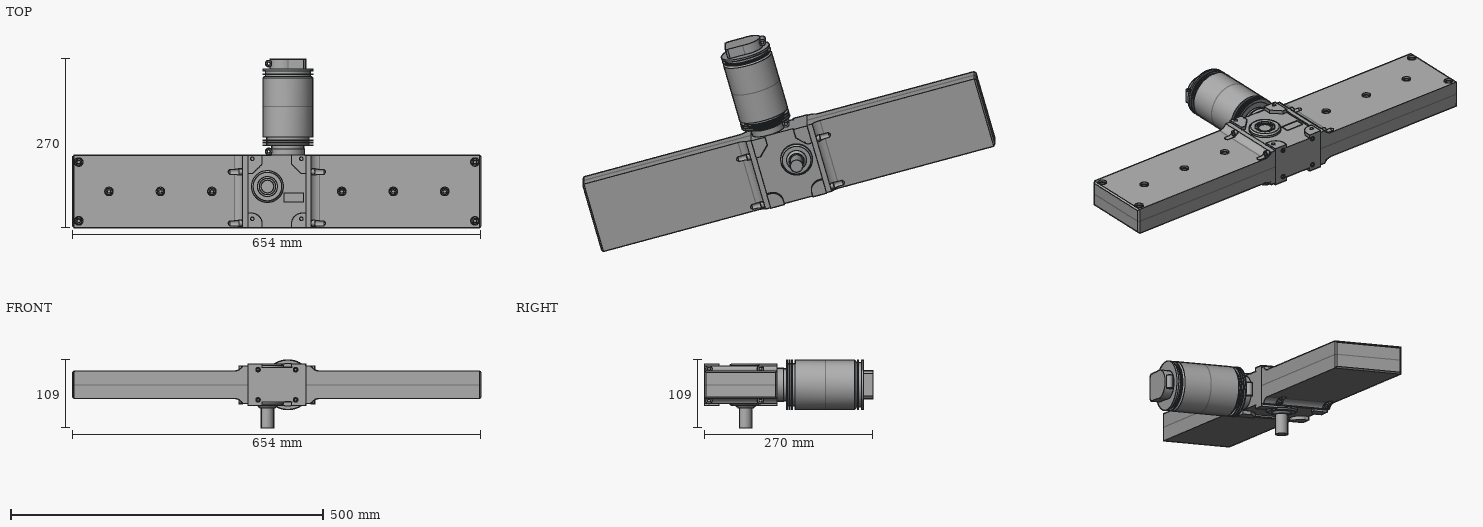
import cadquery as cq
import math

DEPTH = 116.5
TOTAL_LENGTH = 654.0
TOTAL_DEPTH = 270.0

ARM_HALF_HEIGHT = 22.0
FLANGE_HALF_HEIGHT = 30.0
GEARBOX_HALF_WIDTH = 46.5
FLANGE_END_X = 55.0
FLARE_END_X = 68.0
ARM_END_X = TOTAL_LENGTH / 2
ARM_END_CHAMFER = 2.5

SCREW_BORES = ((14.0, 3.0), (10.0, 6.5), (5.5, 16.5))
MIDDLE_SCREW_FIRST_X = 104.0
MIDDLE_SCREW_PITCH = 82.5
MIDDLE_SCREW_COUNT = 3
CORNER_SCREW_X = 317.0
CORNER_SCREW_INSET = 11.0

POCKET_DIA = 10.5
POCKET_TIP_X = 82.5
POCKET_TIP_LENGTH = 7.0
POCKET_Z = 25.5
POCKET_YS = (7.0, 89.5)
BOLT_HEAD_DIA = 10.0
BOLT_HEAD_LENGTH = 6.0
BOLT_SOCKET_DIA = 4.9
BOLT_SOCKET_DEPTH = 3.0

GEARBOX_HALF_HEIGHT = 33.5
PAD_HEIGHT = 6.0
CORE_HALF_HEIGHT = GEARBOX_HALF_HEIGHT - PAD_HEIGHT
PAD_INNER_X = 23.5
FRONT_PAD_DEPTH = 23.5
FRONT_PAD_RADIUS = 17.0
BACK_PAD_DEPTH = 29.5
BACK_PAD_BEVEL = 15.0
PAD_HOLE_X = 39.0
FRONT_PAD_HOLE_Y = 14.5
BACK_PAD_HOLE_INSET = 6.0
PAD_HOLE_DIA = 5.5
PAD_HOLE_DEPTH = 10.0
FACE_HOLE_X = 30.0
FACE_HOLE_Z = 24.0
FACE_BORES = ((7.0, 2.0), (4.1, 10.0))

SHAFT_X = -15.0
SHAFT_Y = 66.0
SHAFT_DIA = 20.0
SHAFT_BOTTOM_Z = -69.0
BOSS_DIA = 51.0
BOSS_CHAMFER = 2.5
HUB_DIA = 32.0
HUB_RECESS_DEPTH = 2.5
HUB_FLOOR_Z = GEARBOX_HALF_HEIGHT - HUB_RECESS_DEPTH
SHAFT_RELIEF_DIA = 26.0
SHAFT_RELIEF_DEPTH = 6.5
COLLAR_HEIGHT = 4.0
COLLAR_END_DIA = 24.0

PLATE_X, PLATE_Y = 27.0, 48.5
PLATE_LENGTH, PLATE_WIDTH, PLATE_THICKNESS = 31.5, 14.5, 0.5

MOTOR_X = 17.5
MOTOR_DIA = 80.0
NECK_DIA = 51.5
CLAMP_DIA = 53.5
CLAMP_LENGTH = 10.0
NECK_END_Y = 131.5
FIN_THICKNESS = 1.0
LOWER_FIN_PITCH = 4.0
LOWER_FIN_COUNT = 3
LOWER_GROOVE_DIA = 68.0
BARREL_START_Y = 145.0
BARREL_END_Y = 242.5
BARREL_CHAMFER = 2.5
UPPER_GROOVE_DIA = 72.0
UPPER_FIN_Y = 245.0
END_PLATE_Y = 251.0
END_PLATE_THICKNESS = 3.0
CAP_HALF_WIDTH = 29.0
CAP_HALF_HEIGHT = 22.0
CAP_CHAMFER = 4.0
LUG_DIA = 10.5
LUG_HOLE_DIA = 4.9
LUG_HALF_LENGTH = 10.5
LUG_X = MOTOR_X - 31.0
LUG_YS = (DEPTH + 6.0, TOTAL_DEPTH - 7.0)


def y_cylinder(x, z, y_start, y_end, diameter):
    """Cylinder whose axis is parallel to Y."""
    return cq.Workplane(cq.Solid.makeCylinder(
        diameter / 2, y_end - y_start, cq.Vector(x, y_start, z), cq.Vector(0, 1, 0)))


def z_cylinder(x, y, z_start, z_end, diameter):
    """Cylinder whose axis is parallel to Z."""
    return cq.Workplane(cq.Solid.makeCylinder(diameter / 2, z_end - z_start, cq.Vector(x, y, z_start)))


def arm_half_blank():
    """Upper half of the right arm, with a concave flare up to its flange."""
    rise = FLANGE_HALF_HEIGHT - ARM_HALF_HEIGHT
    run = FLARE_END_X - FLANGE_END_X
    radius = (run ** 2 + rise ** 2) / (2 * rise)
    half_angle = math.asin(run / radius) / 2
    flare_middle = (
        FLARE_END_X - radius * math.sin(half_angle),
        ARM_HALF_HEIGHT + radius * (1 - math.cos(half_angle)),
    )
    half = (
        cq.Workplane("XZ")
        .moveTo(GEARBOX_HALF_WIDTH, 0)
        .lineTo(GEARBOX_HALF_WIDTH, FLANGE_HALF_HEIGHT)
        .lineTo(FLANGE_END_X, FLANGE_HALF_HEIGHT)
        .threePointArc(flare_middle, (FLARE_END_X, ARM_HALF_HEIGHT))
        .lineTo(ARM_END_X, ARM_HALF_HEIGHT)
        .lineTo(ARM_END_X, 0)
        .close()
        .extrude(-DEPTH)
    )
    end_edges = half.faces(">X").edges("not <Z")
    return end_edges.chamfer(ARM_END_CHAMFER)


def bolt_pocket(y):
    """Round pocket along X with a conical tip."""
    radius = POCKET_DIA / 2
    return (
        cq.Workplane("XZ", origin=(0, y, POCKET_Z))
        .moveTo(FLANGE_END_X, 0)
        .lineTo(FLANGE_END_X, radius)
        .lineTo(POCKET_TIP_X - POCKET_TIP_LENGTH, radius)
        .lineTo(POCKET_TIP_X, 0)
        .close()
        .revolve(360, (0, 0, 0), (1, 0, 0))
    )


def bolt_head(y):
    return (
        cq.Workplane("YZ", origin=(FLANGE_END_X, y, POCKET_Z))
        .circle(BOLT_HEAD_DIA / 2)
        .extrude(BOLT_HEAD_LENGTH)
        .faces(">X")
        .workplane()
        .hole(BOLT_SOCKET_DIA, BOLT_SOCKET_DEPTH)
    )


def cover_screw_points():
    middle_xs = [MIDDLE_SCREW_FIRST_X + i * MIDDLE_SCREW_PITCH for i in range(MIDDLE_SCREW_COUNT)]
    middle = [(x, DEPTH / 2) for x in middle_xs]
    corners = [(CORNER_SCREW_X, y) for y in (CORNER_SCREW_INSET, DEPTH - CORNER_SCREW_INSET)]
    return middle + corners


def make_right_arm():
    half = arm_half_blank()
    for y in POCKET_YS:
        half = half.cut(bolt_pocket(y)).union(bolt_head(y))
    lower_half = half.mirror("XY")

    upper_half = half
    for x, y in cover_screw_points():
        for diameter, depth in SCREW_BORES:
            bore = z_cylinder(x, y, ARM_HALF_HEIGHT - depth, ARM_HALF_HEIGHT, diameter)
            upper_half = upper_half.cut(bore)
    return upper_half.union(lower_half, clean=False)


def front_pad():
    """Right front corner pad on the top, with a rounded inner corner."""
    width = GEARBOX_HALF_WIDTH - PAD_INNER_X
    return (
        cq.Workplane("XY", origin=(PAD_INNER_X, 0, CORE_HALF_HEIGHT))
        .rect(width, FRONT_PAD_DEPTH, centered=False)
        .extrude(PAD_HEIGHT)
        .edges("|Z and <X and >Y")
        .fillet(FRONT_PAD_RADIUS)
    )


def back_pad():
    """Right back corner pad on the top, with a bevelled inner corner."""
    width = GEARBOX_HALF_WIDTH - PAD_INNER_X
    return (
        cq.Workplane("XY", origin=(PAD_INNER_X, DEPTH - BACK_PAD_DEPTH, CORE_HALF_HEIGHT))
        .rect(width, BACK_PAD_DEPTH, centered=False)
        .extrude(PAD_HEIGHT)
        .edges("|Z and <X and <Y")
        .chamfer(BACK_PAD_BEVEL)
    )


def gearbox_core():
    core = (
        cq.Workplane("XY", origin=(0, DEPTH / 2, 0))
        .box(2 * GEARBOX_HALF_WIDTH, DEPTH, 2 * CORE_HALF_HEIGHT)
    )
    boss = (
        z_cylinder(SHAFT_X, SHAFT_Y, CORE_HALF_HEIGHT, GEARBOX_HALF_HEIGHT, BOSS_DIA)
        .faces(">Z")
        .chamfer(BOSS_CHAMFER)
    )
    for feature in (front_pad(), back_pad()):
        feature = feature.union(feature.mirror("YZ"))
        core = core.union(feature).union(feature.mirror("XY"))
    return core.union(boss).union(boss.mirror("XY"))


def bottom_collar():
    """Tapered hub end around the shaft, below the lower boss."""
    return (
        cq.Workplane("XY", origin=(SHAFT_X, SHAFT_Y, -GEARBOX_HALF_HEIGHT))
        .circle(HUB_DIA / 2)
        .workplane(offset=-COLLAR_HEIGHT)
        .circle(COLLAR_END_DIA / 2)
        .loft()
    )


def name_plate():
    return (
        cq.Workplane("XY", origin=(PLATE_X, PLATE_Y, CORE_HALF_HEIGHT))
        .rect(PLATE_LENGTH, PLATE_WIDTH)
        .extrude(PLATE_THICKNESS)
    )


def make_gearbox():
    box = gearbox_core().union(bottom_collar()).union(name_plate())

    relief_floor = HUB_FLOOR_Z - SHAFT_RELIEF_DEPTH
    box = box.cut(z_cylinder(SHAFT_X, SHAFT_Y, HUB_FLOOR_Z, GEARBOX_HALF_HEIGHT, HUB_DIA))
    box = box.cut(z_cylinder(SHAFT_X, SHAFT_Y, relief_floor, HUB_FLOOR_Z, SHAFT_RELIEF_DIA))
    box = box.cut(z_cylinder(SHAFT_X, SHAFT_Y, SHAFT_BOTTOM_Z, relief_floor, SHAFT_DIA))

    pad_hole_floor = GEARBOX_HALF_HEIGHT - PAD_HOLE_DEPTH
    for side in (-1, 1):
        for y in (FRONT_PAD_HOLE_Y, DEPTH - BACK_PAD_HOLE_INSET):
            hole = z_cylinder(side * PAD_HOLE_X, y, pad_hole_floor, GEARBOX_HALF_HEIGHT, PAD_HOLE_DIA)
            box = box.cut(hole)
        for z in (-FACE_HOLE_Z, FACE_HOLE_Z):
            for diameter, depth in FACE_BORES:
                box = box.cut(y_cylinder(side * FACE_HOLE_X, z, 0, depth, diameter))
    return box


def make_shaft():
    return z_cylinder(SHAFT_X, SHAFT_Y, SHAFT_BOTTOM_Z, HUB_FLOOR_Z, SHAFT_DIA)


def motor_cap():
    """Terminal cap: rounded on the left, square with bevelled edges on the right."""
    cap_start = END_PLATE_Y + END_PLATE_THICKNESS
    return (
        cq.Workplane("XZ", origin=(MOTOR_X, cap_start, 0))
        .moveTo(0, -CAP_HALF_HEIGHT)
        .lineTo(CAP_HALF_WIDTH, -CAP_HALF_HEIGHT)
        .lineTo(CAP_HALF_WIDTH, CAP_HALF_HEIGHT)
        .lineTo(0, CAP_HALF_HEIGHT)
        .threePointArc((-CAP_HALF_WIDTH, 0), (0, -CAP_HALF_HEIGHT))
        .close()
        .extrude(cap_start - TOTAL_DEPTH)
        .edges("|Y and >X")
        .chamfer(CAP_CHAMFER)
    )


def motor_section(y_start, y_end, diameter):
    return y_cylinder(MOTOR_X, 0, y_start, y_end, diameter)


def make_motor():
    motor = motor_section(DEPTH, NECK_END_Y, NECK_DIA)
    motor = motor.union(motor_section(DEPTH, DEPTH + CLAMP_LENGTH, CLAMP_DIA))

    motor = motor.union(motor_section(NECK_END_Y, BARREL_START_Y, LOWER_GROOVE_DIA))
    for i in range(LOWER_FIN_COUNT):
        fin_y = NECK_END_Y + i * LOWER_FIN_PITCH
        motor = motor.union(motor_section(fin_y, fin_y + FIN_THICKNESS, MOTOR_DIA))
    motor = motor.union(motor_section(BARREL_END_Y, END_PLATE_Y, UPPER_GROOVE_DIA))
    motor = motor.union(motor_section(UPPER_FIN_Y, UPPER_FIN_Y + FIN_THICKNESS, MOTOR_DIA))
    motor = motor.union(motor_section(END_PLATE_Y, END_PLATE_Y + END_PLATE_THICKNESS, MOTOR_DIA))

    motor = motor.union(motor_cap())
    for y in LUG_YS:
        motor = motor.union(z_cylinder(LUG_X, y, -LUG_HALF_LENGTH, LUG_HALF_LENGTH, LUG_DIA))
        motor = motor.cut(z_cylinder(LUG_X, y, -LUG_HALF_LENGTH, LUG_HALF_LENGTH, LUG_HOLE_DIA))

    barrel_middle_y = (BARREL_START_Y + BARREL_END_Y) / 2
    front_barrel = motor_section(BARREL_START_Y, barrel_middle_y, MOTOR_DIA)
    back_barrel = (
        motor_section(barrel_middle_y, BARREL_END_Y, MOTOR_DIA)
        .faces(">Y")
        .chamfer(BARREL_CHAMFER)
    )
    return motor.union(front_barrel).union(back_barrel, clean=False)


right_arm = make_right_arm()
left_arm = right_arm.mirror("YZ")
gearbox = make_gearbox()
shaft = make_shaft()
motor = make_motor()

result = cq.Compound.makeCompound([
    left_arm.val(),
    right_arm.val(),
    gearbox.val(),
    shaft.val(),
    motor.val(),
])